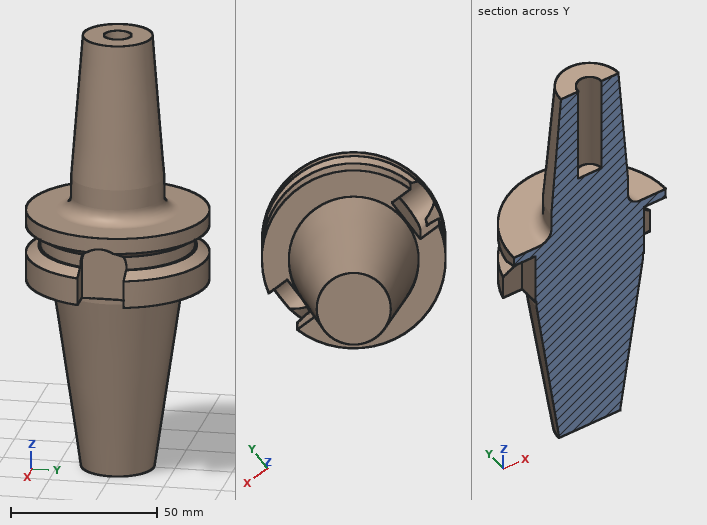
import cadquery as cq
import math

gauge_diameter = 44.45
shank_length = 65.4
shank_taper_ratio = 7 / 24

flange_diameter = 63.0
flange_bottom_z = 2.0
flange_top_z = 27.0
groove_center_z = 16.6
groove_mouth_width = 10.0
groove_root_diameter = 53.0
groove_flank_angle = 30.0
groove_ledge_width = 0.65

slot_width = 16.1
slot_floor_distance = 22.5
slot_top_z = 23.0

nose_top_z = 90.0
nose_tip_diameter = 24.0
neck_diameter = 32.0
neck_fillet_radius = 5.0
nose_half_angle = 4.5
bore_diameter = 9.5
bore_depth = 40.0


def make_body():
    """Revolve the half profile of the shank, flange and nose about Z."""
    gauge_radius = gauge_diameter / 2
    shank_end_radius = gauge_radius - shank_length * shank_taper_ratio / 2

    flange_radius = flange_diameter / 2
    groove_root_radius = groove_root_diameter / 2
    groove_depth = flange_radius - groove_root_radius
    mouth_half_width = groove_mouth_width / 2
    flank_slope = math.tan(math.radians(groove_flank_angle))
    root_top_z = groove_center_z + mouth_half_width - groove_depth * flank_slope
    ledge_radius = groove_root_radius + groove_ledge_width
    ledge_z = groove_center_z - mouth_half_width + (flange_radius - ledge_radius) * flank_slope

    neck_radius = neck_diameter / 2
    tip_radius = nose_tip_diameter / 2
    cone_length = (neck_radius - tip_radius) / math.tan(math.radians(nose_half_angle))

    profile = (
        cq.Workplane("XZ")
        .moveTo(0, -shank_length)
        .lineTo(shank_end_radius, -shank_length)
        .lineTo(gauge_radius, 0)
        .lineTo(gauge_radius, flange_bottom_z)
        .lineTo(flange_radius, flange_bottom_z)
        .lineTo(flange_radius, groove_center_z - mouth_half_width)
        .lineTo(ledge_radius, ledge_z)
        .lineTo(groove_root_radius, ledge_z)
        .lineTo(groove_root_radius, root_top_z)
        .lineTo(flange_radius, groove_center_z + mouth_half_width)
        .lineTo(flange_radius, flange_top_z)
        .lineTo(neck_radius + neck_fillet_radius, flange_top_z)
        .radiusArc((neck_radius, flange_top_z + neck_fillet_radius), neck_fillet_radius)
        .lineTo(neck_radius, nose_top_z - cone_length)
        .lineTo(tip_radius, nose_top_z)
        .lineTo(0, nose_top_z)
        .close()
    )
    return profile.revolve(360, (0, 0), (0, 1))


def make_drive_slot():
    """Round-topped cutter for the +X drive slot, open at the flange bottom."""
    slot_radius = slot_width / 2
    arch_center_z = slot_top_z - slot_radius
    cut_length = flange_diameter / 2
    return (
        cq.Workplane("YZ", origin=(slot_floor_distance, 0, 0))
        .moveTo(-slot_radius, flange_bottom_z)
        .lineTo(slot_radius, flange_bottom_z)
        .lineTo(slot_radius, arch_center_z)
        .threePointArc((0, slot_top_z), (-slot_radius, arch_center_z))
        .close()
        .extrude(cut_length)
    )


def make_bore():
    """Blind tool bore sunk from the nose tip."""
    return (
        cq.Workplane("XY", origin=(0, 0, nose_top_z))
        .circle(bore_diameter / 2)
        .extrude(-bore_depth)
    )


result = make_body().cut(make_bore())
for side_angle in (0, 180):
    slot = make_drive_slot().rotate((0, 0, 0), (0, 0, 1), side_angle)
    result = result.cut(slot)